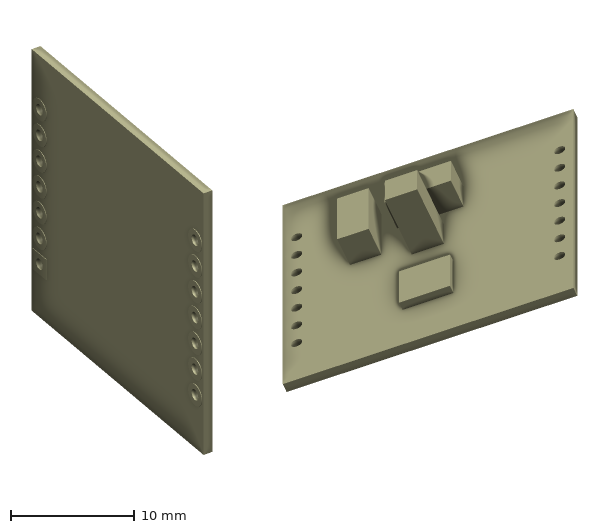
import cadquery as cq

BOARD_SIDE = 25.4
BOARD_THICKNESS = 0.85

PAD_HEIGHT = 0.05
PAD_SIZE = 2.0
HOLE_DIAMETER = 1.0
PADS_PER_COLUMN = 7
COLUMN_LENGTH = 15.0
PAD_PITCH = COLUMN_LENGTH / (PADS_PER_COLUMN - 1)
COLUMN_SPACING = 22.99

COIL_LENGTH = 5.8
COIL_WIDTH = 2.82
COIL_THICKNESS = 2.75
X_COIL_CENTER_X = -0.2
X_COIL_CENTER_Z = 5.44
Y_COIL_CENTER_X = 0.03
Y_COIL_CENTER_Z = 1.02
Z_COIL_CENTER_X = 5.45
Z_COIL_CENTER_Z = X_COIL_CENTER_Z + (COIL_WIDTH - COIL_LENGTH) / 2

CHIP_SIDE = 4.45
CHIP_HEIGHT = 0.75
CHIP_CENTER_X = 0.0
CHIP_CENTER_Z = -5.55


def block(size_x, size_z, start_y, height, center_x, center_z):
    """Box centred in X and Z that rises toward +Y from start_y."""
    box = cq.Workplane("XY").box(size_x, height, size_z, centered=(True, False, True))
    return box.translate((center_x, start_y, center_z))


def component(size_x, size_z, height, center_x, center_z):
    """Block mounted on the back of the board."""
    return block(size_x, size_z, BOARD_THICKNESS, height, center_x, center_z)


def cylinder(diameter, start_y, end_y, center_x, center_z):
    """Round bar along Y."""
    bar = cq.Solid.makeCylinder(
        diameter / 2,
        end_y - start_y,
        cq.Vector(center_x, start_y, center_z),
        cq.Vector(0, 1, 0),
    )
    return cq.Workplane(obj=bar)


def pad(column, row, x, z):
    """Thin copper pad: square for the first pin, round for the others."""
    if column == 0 and row == 0:
        return block(PAD_SIZE, PAD_SIZE, -PAD_HEIGHT, PAD_HEIGHT, x, z)
    return cylinder(PAD_SIZE, -PAD_HEIGHT, 0, x, z)


result = block(BOARD_SIDE, BOARD_SIDE, 0, BOARD_THICKNESS, 0, 0)
result = result.union(
    component(COIL_LENGTH, COIL_WIDTH, COIL_THICKNESS, X_COIL_CENTER_X, X_COIL_CENTER_Z)
)
result = result.union(
    component(COIL_WIDTH, COIL_THICKNESS, COIL_LENGTH, Y_COIL_CENTER_X, Y_COIL_CENTER_Z)
)
result = result.union(
    component(COIL_THICKNESS, COIL_LENGTH, COIL_THICKNESS, Z_COIL_CENTER_X, Z_COIL_CENTER_Z)
)
result = result.union(
    component(CHIP_SIDE, CHIP_SIDE, CHIP_HEIGHT, CHIP_CENTER_X, CHIP_CENTER_Z)
)

for column in range(2):
    pad_x = (column - 0.5) * COLUMN_SPACING
    for row in range(PADS_PER_COLUMN):
        pad_z = row * PAD_PITCH - COLUMN_LENGTH / 2
        result = result.union(pad(column, row, pad_x, pad_z))
        result = result.cut(cylinder(HOLE_DIAMETER, -PAD_HEIGHT, BOARD_THICKNESS, pad_x, pad_z))